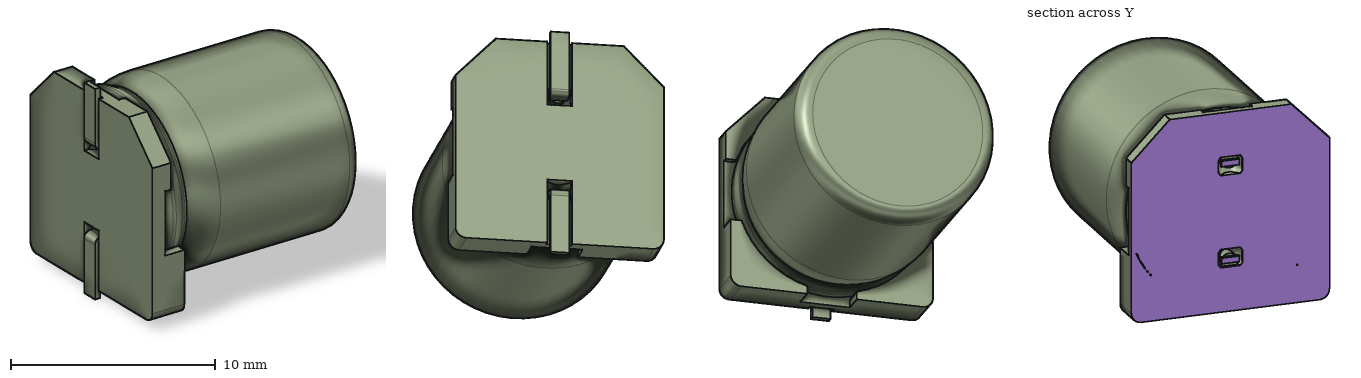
import cadquery as cq
import math


base_size = 10.35
overall_length = 12.67
lead_span = 11.34

base_front = 0.1
seat_floor = 0.86
plate_back = 1.2
post_back = 2.01
base_chamfer = 2.0
base_fillet = 0.53
side_notch_width = 3.47
end_notch_width = 2.53

can_diameter = 10.17
rim_fillet = 0.73
shoulder_start = 4.22
neck_top = 2.5
neck_bottom = 2.36
neck_radius = 4.7
bead_radius = 4.94
bead_edge = 2.17
bead_top = 1.69
bead_bottom = 1.5
bead_round = 0.76

lead_width = 0.92
lead_thickness = 0.32
bend_start = 2.74
bend_radius = 0.38
wire_radius = 0.45
wire_start = 0.63
groove_width = 1.23
groove_floor = 0.35
recess_inner = 1.93
recess_outer = 2.85
funnel_end = 1.27
funnel_tip_radius = 0.18

base_half = base_size / 2
can_radius = can_diameter / 2
lead_end = lead_span / 2


def block(x_range, y_range, z_range):
    """Box given by its low and high limit along each axis."""
    limits = (x_range, y_range, z_range)
    size = [high - low for low, high in limits]
    corner = tuple(low for low, high in limits)
    return cq.Workplane("XY").box(*size, centered=False).translate(corner)


def rod(radius, y_start, y_end, z=0.0):
    """Round bar parallel to Y."""
    bar = cq.Solid.makeCylinder(radius, y_end - y_start, cq.Vector(0, y_start, z), cq.Vector(0, 1, 0))
    return cq.Workplane(bar)


def make_base():
    base = block((-base_half, base_half), (base_front, post_back), (-base_half, base_half))
    base = base.edges("|Y and >Z").chamfer(base_chamfer)
    base = base.edges("|Y and <Z").fillet(base_fillet)
    post_top = -side_notch_width / 2
    cuts = (
        block((-base_half, base_half), (plate_back, post_back), (post_top, base_half)),
        block((-base_half, base_half), (seat_floor, post_back), (post_top, -post_top)),
        block((-end_notch_width / 2, end_notch_width / 2), (seat_floor, post_back), (-base_half, base_half)),
        rod(bead_radius, seat_floor, post_back),
    )
    for cut in cuts:
        base = base.cut(cut)
    return base


def make_can():
    def bead_point(level, arc_center):
        rounded = math.sqrt(bead_round**2 - (level - arc_center) ** 2)
        return (bead_radius - bead_round + rounded, level)

    shoulder_drop = can_radius - neck_radius
    shoulder_length = shoulder_start - neck_top
    shoulder_radius = (shoulder_length**2 + shoulder_drop**2) / (2 * shoulder_drop)
    half_length = shoulder_length / 2
    shoulder_mid = can_radius - shoulder_radius + math.sqrt(shoulder_radius**2 - half_length**2)
    rim_radius = can_radius - rim_fillet
    rim_start = overall_length - rim_fillet
    rim_diagonal = rim_fillet * math.sqrt(0.5)
    profile = (
        cq.Workplane("XY")
        .moveTo(0, seat_floor)
        .lineTo(*bead_point(seat_floor, bead_bottom))
        .threePointArc(bead_point((seat_floor + bead_bottom) / 2, bead_bottom), (bead_radius, bead_bottom))
        .lineTo(bead_radius, bead_top)
        .threePointArc(bead_point((bead_top + bead_edge) / 2, bead_top), bead_point(bead_edge, bead_top))
        .tangentArcPoint((neck_radius, neck_bottom), relative=False)
        .lineTo(neck_radius, neck_top)
        .threePointArc((shoulder_mid, shoulder_start - half_length), (can_radius, shoulder_start))
        .lineTo(can_radius, rim_start)
        .threePointArc(
            (rim_radius + rim_diagonal, rim_start + rim_diagonal),
            (rim_radius, overall_length),
        )
        .lineTo(0, overall_length)
        .close()
    )
    return profile.revolve(360, (0, 0, 0), (0, 1, 0))


def make_recess():
    half_width = groove_width / 2
    groove = block((-half_width, half_width), (base_front, groove_floor), (recess_inner, base_half))
    center_z = (recess_inner + recess_outer) / 2
    mouth_radius = math.hypot(half_width, center_z - recess_inner)
    funnel = cq.Workplane(
        cq.Solid.makeCone(
            mouth_radius, funnel_tip_radius, funnel_end - groove_floor,
            cq.Vector(0, groove_floor, center_z), cq.Vector(0, 1, 0),
        )
    )
    pocket = block((-half_width, half_width), (groove_floor, funnel_end), (recess_inner, recess_outer))
    return groove.union(pocket.intersect(funnel))


def make_lead():
    strip_inner = bend_start - bend_radius
    strip = block((-lead_width / 2, lead_width / 2), (0, lead_thickness), (strip_inner, lead_end))
    riser_outer = strip_inner + lead_thickness
    riser = block((-lead_width / 2, lead_width / 2), (0, wire_start), (strip_inner, riser_outer))
    bent = strip.union(riser).edges("|X and <Y and <Z").fillet(bend_radius)
    wire = rod(wire_radius, wire_start, funnel_end, riser_outer)
    return bent.union(wire)


def on_both_sides(feature):
    return feature.union(feature.mirror("XY"))


result = (
    make_base()
    .union(make_can())
    .cut(on_both_sides(make_recess()))
    .union(on_both_sides(make_lead()))
)